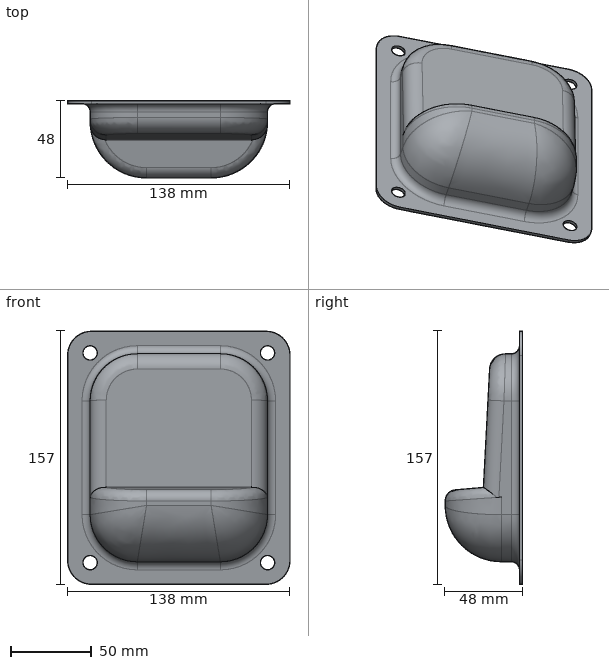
import cadquery as cq
import math

flange_width = 138.0
flange_height = 157.0
flange_thickness = 2.0
flange_corner_radius = 15.0
hole_pitch_x = 110.0
hole_pitch_z = 130.0
hole_diameter = 8.7

flange_fillet = 5.0
flange_border = 9.0
dish_width = flange_width - 2 * (flange_border + flange_fillet)
dish_height = flange_height - 2 * (flange_border + flange_fillet)
dish_corner_radius = 29.25

panel_top_depth = 20.0
panel_slope = math.radians(3.0)
panel_fillet = 10.0

bulge_depth = 48.0
bulge_rounding = 35.0
shelf_root_z = -18.3
shelf_slope = math.radians(5.0)
shelf_fillet = 7.0
inner_corner_fillet = 0.5

rounding_steps = 10
last_section_angle = 89.9


def panel_depth(z):
    """Distance of the sloping panel from the back plane at height z."""
    return panel_top_depth + (dish_height / 2 - z) * math.tan(panel_slope)


def rounded_block(width, height, corner_radius, depth):
    """Rounded rectangle extruded from the back plane towards -Y."""
    block = cq.Workplane("XZ").rect(width, height).extrude(depth)
    return block.edges("|Y").fillet(corner_radius)


def make_flange():
    return rounded_block(flange_width, flange_height, flange_corner_radius, flange_thickness)


def make_mounting_holes():
    """Pins that cut the four through holes, one near each flange corner."""
    return (
        cq.Workplane("XZ")
        .rect(hole_pitch_x, hole_pitch_z, forConstruction=True)
        .vertices()
        .circle(hole_diameter / 2)
        .extrude(flange_thickness)
    )


def bulge_section(angle):
    """Outline of the bulge where its rounding has turned through the given angle.

    The corner radius shrinks with the inset, so each corner closes to a point on the front face.
    """
    inset = bulge_rounding * (1 - math.cos(angle))
    depth = bulge_depth - bulge_rounding * (1 - math.sin(angle))
    x = dish_width / 2 - inset
    top = 0
    bottom = -dish_height / 2 + inset
    radius = dish_corner_radius * math.cos(angle)
    chord = radius * (1 - math.sqrt(0.5))
    return (
        cq.Workplane("XZ", origin=(0, -depth, 0))
        .moveTo(-x, top)
        .lineTo(-x, bottom + radius)
        .threePointArc((-x + chord, bottom + chord), (-x + radius, bottom))
        .lineTo(x - radius, bottom)
        .threePointArc((x - chord, bottom + chord), (x, bottom + radius))
        .lineTo(x, top)
        .close()
        .wire()
        .val()
    )


def make_skirt(depth):
    """Straight-walled part of the dish next to the flange."""
    return rounded_block(dish_width, dish_height, dish_corner_radius, depth)


def make_dome():
    """Loft through the bulge sections, from the start of the rounding to the front face."""
    step = math.radians(last_section_angle) / rounding_steps
    sections = [bulge_section(i * step) for i in range(rounding_steps + 1)]
    return cq.Workplane(obj=cq.Solid.makeLoft(sections))


def side_prism(points):
    """Prism across the whole width of the dish from a (Y, Z) polygon."""
    return cq.Workplane("YZ").polyline(points).close().extrude(dish_width / 2, both=True)


def shelf_z(depth):
    """Height of the shelf plane at a distance from the back plane."""
    return shelf_root_z + (panel_depth(shelf_root_z) - depth) * math.tan(shelf_slope)


def below_shelf(drop):
    """Everything under a plane parallel to the shelf and lower by the given drop."""
    bottom = -dish_height / 2
    return side_prism([
        (0, bottom),
        (0, shelf_z(0) - drop),
        (-bulge_depth, shelf_z(bulge_depth) - drop),
        (-bulge_depth, bottom),
    ])


def make_panel_body():
    """Upper dish under the sloping panel, running down to where the shelf rounding ends."""
    top = dish_height / 2
    outline = rounded_block(dish_width, dish_height, dish_corner_radius, bulge_depth)
    behind_panel = side_prism([(0, top), (-panel_depth(top), top), (-panel_depth(-top), -top), (0, -top)])
    body = outline.intersect(behind_panel).faces("<Y").edges().fillet(panel_fillet)
    return body.cut(below_shelf(shelf_fillet / math.cos(shelf_slope)))


def make_bulge():
    """Lower dish at its full depth, cut off by the shelf, whose outer edge is rounded."""
    bulge = make_skirt(bulge_depth - bulge_rounding).union(make_dome()).intersect(below_shelf(0))
    return bulge.faces(">Z").edges("not >Z").fillet(shelf_fillet)


def make_root_filler():
    """Strip that rounds the inner corner between the flat panel and the shelf."""
    root_depth = panel_depth(shelf_root_z)
    flat_width = dish_width - 2 * panel_fillet
    half_opening = (math.pi / 2 + panel_slope + shelf_slope) / 2
    tangent_length = inner_corner_fillet / math.tan(half_opening)
    bisector_angle = math.pi / 2 - panel_slope + half_opening
    arc_distance = inner_corner_fillet / math.sin(half_opening) - inner_corner_fillet

    def from_root(distance, angle):
        """Point in the (Y, Z) plane at a distance and direction from the inner corner."""
        return (-root_depth + distance * math.cos(angle), shelf_root_z + distance * math.sin(angle))

    return (
        cq.Workplane("YZ")
        .moveTo(-root_depth, shelf_root_z)
        .lineTo(*from_root(tangent_length, bisector_angle - half_opening))
        .threePointArc(
            from_root(arc_distance, bisector_angle),
            from_root(tangent_length, bisector_angle + half_opening),
        )
        .close()
        .extrude(flat_width / 2, both=True)
    )


def round_flange_root(part):
    """Fillet the edge loop where the dish walls leave the flange face."""
    reach_x = dish_width / 2 + flange_fillet
    reach_z = dish_height / 2 + flange_fillet
    root_edges = cq.selectors.BoxSelector(
        (-reach_x, -1.5 * flange_thickness, -reach_z),
        (reach_x, -0.5 * flange_thickness, reach_z),
    )
    return part.edges(root_edges).fillet(flange_fillet)


base = round_flange_root(make_flange().union(make_skirt(panel_top_depth - panel_fillet)))
dish = make_panel_body().union(make_bulge())
result = base.union(dish).union(make_root_filler()).cut(make_mounting_holes())